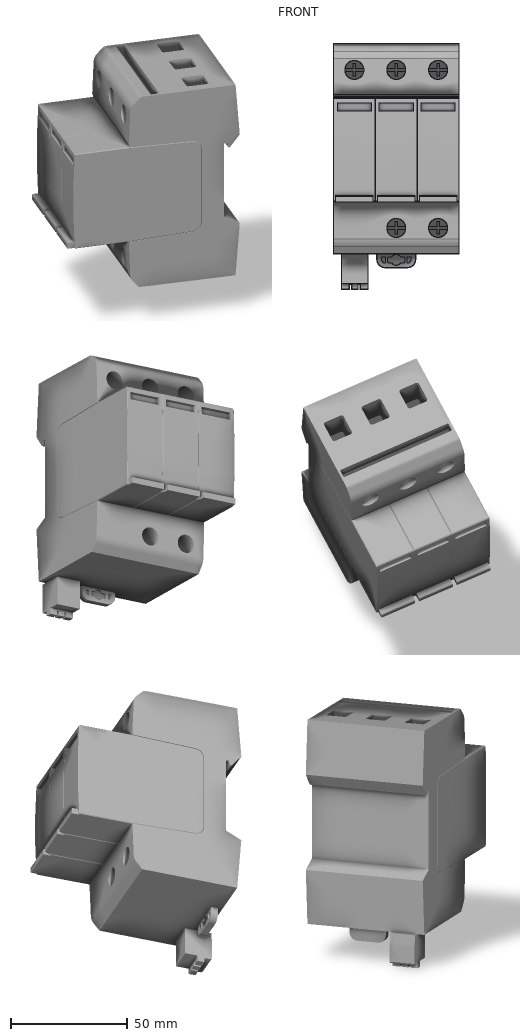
import cadquery as cq


total_height = 105.6
poles = 3
width = 54.0
pitch = width / poles
pole_centres = [(i - (poles - 1) / 2) * pitch for i in range(poles)]
height = 90.4

back_lobe_y = 7.1
back_top_y = 5.2
lobe_top_z = 66.5
hook_seat_z = 63.2
hook_tip_z = 61.3
hook_tip_outer_y = 2.7
hook_tip_inner_y = 1.9
hook_tip_sagitta = 0.2
hook_throat_y = 1.4
seat_bottom_z = 27.8
lobe_bottom_z = 24.4
front_y = -42.8
top_front_y = -37.0
shoulder_y = -37.6
shoulder_drop = 0.2
bevel_start_y = -38.2
bevel_start_drop = 0.7
bevel_end_y = -40.8
bevel_drop = 3.3
brow_mid_y = -41.7
brow_mid_drop = 4.8
brow_y = -42.1
brow_drop = 6.4
underside_rise = 0.3
lip_top_z = 68.7
lip_depth = 0.3
lip_gap = 0.5

module_back_y = -9.9
module_front_y = -67.1
module_bulge = 0.6
module_top_z = 67.2
module_bottom_z = 22.4
module_taper = 1.1
taper_end_y = -43.2
module_corner = 4.2
module_chamfer = 0.3
front_chamfer = 0.4
front_corner_chamfer = 0.1

window_width = 14.7
window_height = 3.4
window_z = 63.2
window_depth = 2.1
tab_width = 16.1
tab_height = 2.7
tab_front_y = -70.0
tab_chamfer = 0.3

screw_hole_diameter = 8.1
screw_hole_depth = 12.7
upper_screw_z = 79.1
lower_screw_z = 11.2
long_slot_width = 1.4
short_slot_width = 1.2
short_slot_length = 5.4
drive_depth = 1.1

wire_width = 9.3
wire_length = 9.9
wire_y = -10.4
wire_depth = 15.8
wire_corner = 1.1
label_width = 51.8
label_length = 3.8
label_x = -0.1
label_y = -30.7
label_depth = 5.3
label_corner = 0.6

plug_left_x = -23.6
plug_width = 11.5
plug_top_back_y = 7.5
plug_back_y = 7.8
plug_slope_z = -4.6
plug_front_y = -4.4
plug_overlap = 0.3
plug_bottom_z = -12.6
plug_step = 0.6
tooth_back_y = 4.4
tooth_front_y = 1.3
tooth_bottom_z = height - total_height
tooth_gap_width = 1.0
tooth_width = 2.7

clip_width = 16.8
clip_drop = 5.9
clip_corner = 3.7
clip_thickness = 3.2
clip_overlap = 1.1
recess_depth = 1.1
recess_z = -2.5
recess_width = 7.5
recess_height = 2.5
recess_corner = 0.6
recess_diameter = 4.6
side_recess_inner_x = 4.6
side_recess_outer_x = 6.4
side_recess_foot_x = 5.5


def side_extrusion(outline, x_min, length):
    """Extrude a closed outline drawn in (Y, Z) along +X."""
    return outline.close().extrude(length).translate((x_min, 0, 0))


def box(x_centre, x_size, y_min, y_max, z_min, z_max):
    """Axis-aligned box centred on x_centre."""
    size = (x_size, y_max - y_min, z_max - z_min)
    block = cq.Workplane("XY").box(*size, centered=(True, False, False))
    return block.translate((x_centre, y_min, z_min))


def make_housing():
    """Housing body, solid, before the module slot and the openings are cut."""
    outline = (
        cq.Workplane("YZ")
        .moveTo(back_top_y, height)
        .lineTo(back_lobe_y, lobe_top_z)
        .lineTo(hook_tip_outer_y, hook_tip_z)
        .sagittaArc((hook_tip_inner_y, hook_tip_z), hook_tip_sagitta)
        .lineTo(hook_throat_y, hook_seat_z)
        .lineTo(0, hook_seat_z)
        .lineTo(0, seat_bottom_z)
        .lineTo(back_lobe_y, lobe_bottom_z)
        .lineTo(back_top_y, 0)
        .lineTo(bevel_start_y, underside_rise)
        .lineTo(bevel_end_y, bevel_drop)
        .threePointArc((brow_mid_y, brow_mid_drop), (brow_y, brow_drop))
        .lineTo(front_y, module_bottom_z)
        .lineTo(front_y + lip_depth, module_bottom_z)
        .lineTo(front_y + lip_depth, module_top_z + lip_gap)
        .lineTo(front_y, lip_top_z)
        .lineTo(brow_y, height - brow_drop)
        .threePointArc((brow_mid_y, height - brow_mid_drop), (bevel_end_y, height - bevel_drop))
        .lineTo(bevel_start_y, height - bevel_start_drop)
        .lineTo(shoulder_y, height - shoulder_drop)
        .lineTo(top_front_y, height)
    )
    return side_extrusion(outline, -width / 2, width)


def module_block(length):
    """Tapered module with rounded back corners and a bulged front, extruded along X."""
    middle_z = (module_top_z + module_bottom_z) / 2
    outline = (
        cq.Workplane("YZ")
        .moveTo(module_back_y, module_top_z - module_taper)
        .lineTo(taper_end_y, module_top_z)
        .lineTo(module_front_y + front_chamfer, module_top_z)
        .lineTo(module_front_y, module_top_z - front_chamfer)
        .threePointArc(
            (module_front_y - module_bulge, middle_z),
            (module_front_y, module_bottom_z + front_chamfer),
        )
        .lineTo(module_front_y + front_chamfer, module_bottom_z)
        .lineTo(taper_end_y, module_bottom_z)
        .lineTo(module_back_y, module_bottom_z + module_taper)
    )
    block = side_extrusion(outline, -length / 2, length)
    return block.faces(">Y").edges("|X").fillet(module_corner)


def make_module():
    """One plug-in module with bevelled rims, a label window and a pull tab."""
    behind_front = cq.selectors.BoxSelector(
        (-pitch, module_front_y + front_chamfer, 0), (pitch, 0, height)
    )
    block = module_block(pitch)
    block = block.faces("<X or >X").edges(behind_front).chamfer(module_chamfer)
    block = block.faces("<X or >X").edges("<Y").chamfer(front_corner_chamfer)
    window = box(
        0,
        window_width,
        module_front_y - module_bulge,
        module_front_y + window_depth,
        window_z - window_height / 2,
        window_z + window_height / 2,
    )
    tab_root_y = module_front_y + front_chamfer
    tab = box(0, tab_width, tab_front_y, tab_root_y, module_bottom_z, module_bottom_z + tab_height)
    tab = tab.faces("<Y").edges(">Z").chamfer(tab_chamfer)
    return block.cut(window).union(tab)


def screw_recess(x, z):
    """Round access hole with a cross-slotted screw head at its floor."""
    floor_y = front_y + screw_hole_depth
    drive_end_y = floor_y + drive_depth
    hole = cq.Workplane("XZ", origin=(x, front_y, z)).circle(screw_hole_diameter / 2)
    hole = hole.extrude(-screw_hole_depth)
    half_width = long_slot_width / 2
    half_length = short_slot_length / 2
    long_slot = box(x, screw_hole_diameter, floor_y, drive_end_y, z - half_width, z + half_width)
    short_slot = box(x, short_slot_width, floor_y, drive_end_y, z - half_length, z + half_length)
    return hole.union(long_slot).union(short_slot)


def top_pocket(x, y, x_size, y_size, corner, depth):
    """Rounded rectangular pocket cutter sunk from the top face."""
    pocket = box(x, x_size, y - y_size / 2, y + y_size / 2, height - depth, height)
    return pocket.edges("|Z").fillet(corner)


def make_plug():
    """Plug whose front part reaches slightly into the sloping underside, with a toothed lower end."""
    step_z = plug_bottom_z - plug_step
    outline = (
        cq.Workplane("YZ")
        .moveTo(plug_front_y, plug_overlap)
        .lineTo(tooth_back_y, plug_overlap)
        .lineTo(tooth_back_y, 0)
        .lineTo(plug_top_back_y, 0)
        .lineTo(plug_back_y, plug_slope_z)
        .lineTo(plug_back_y, plug_bottom_z)
        .lineTo(plug_back_y - plug_step, step_z)
        .lineTo(tooth_front_y, step_z)
        .lineTo(tooth_front_y, plug_bottom_z)
        .lineTo(plug_front_y, plug_bottom_z)
    )
    body = side_extrusion(outline, plug_left_x, plug_width)
    centre_x = plug_left_x + plug_width / 2
    teeth = box(centre_x, plug_width, tooth_front_y, tooth_back_y, tooth_bottom_z, plug_bottom_z)
    for side in (-1, 1):
        gap_x = centre_x + side * (tooth_width + tooth_gap_width) / 2
        gap = box(gap_x, tooth_gap_width, tooth_front_y, tooth_back_y, tooth_bottom_z, step_z)
        teeth = teeth.cut(gap)
    return body.union(teeth)


def make_clip():
    """Rail release clip with a shallow tool recess between two small recesses."""
    clip = box(0, clip_width, 0, clip_thickness, -clip_drop, clip_overlap)
    clip = clip.faces("<Z").edges("|Y").fillet(clip_corner)
    recess_top_z = recess_z + recess_height / 2
    recess_bottom_z = recess_z - recess_height / 2
    slot = box(0, recess_width, 0, recess_depth, recess_bottom_z, recess_top_z)
    slot = slot.edges("|Y").fillet(recess_corner)
    eye = cq.Workplane("XZ", origin=(0, 0, recess_z)).circle(recess_diameter / 2).extrude(-recess_depth)
    clip = clip.cut(slot).cut(eye)
    side_recess = (
        cq.Workplane("XZ")
        .moveTo(side_recess_inner_x, recess_top_z)
        .lineTo(side_recess_outer_x, recess_top_z)
        .lineTo(side_recess_outer_x, recess_z)
        .lineTo(side_recess_foot_x, recess_bottom_z)
        .lineTo(side_recess_inner_x, recess_bottom_z)
        .close()
        .extrude(-recess_depth)
    )
    return clip.cut(side_recess).cut(side_recess.mirror("YZ"))


result = make_housing().cut(module_block(width))
for x in pole_centres:
    result = result.union(make_module().translate((x, 0, 0)))

for x in pole_centres:
    result = result.cut(screw_recess(x, upper_screw_z))
    result = result.cut(top_pocket(x, wire_y, wire_width, wire_length, wire_corner, wire_depth))
for x in pole_centres[1:]:
    result = result.cut(screw_recess(x, lower_screw_z))

result = result.cut(top_pocket(label_x, label_y, label_width, label_length, label_corner, label_depth))
result = result.union(make_plug()).union(make_clip())